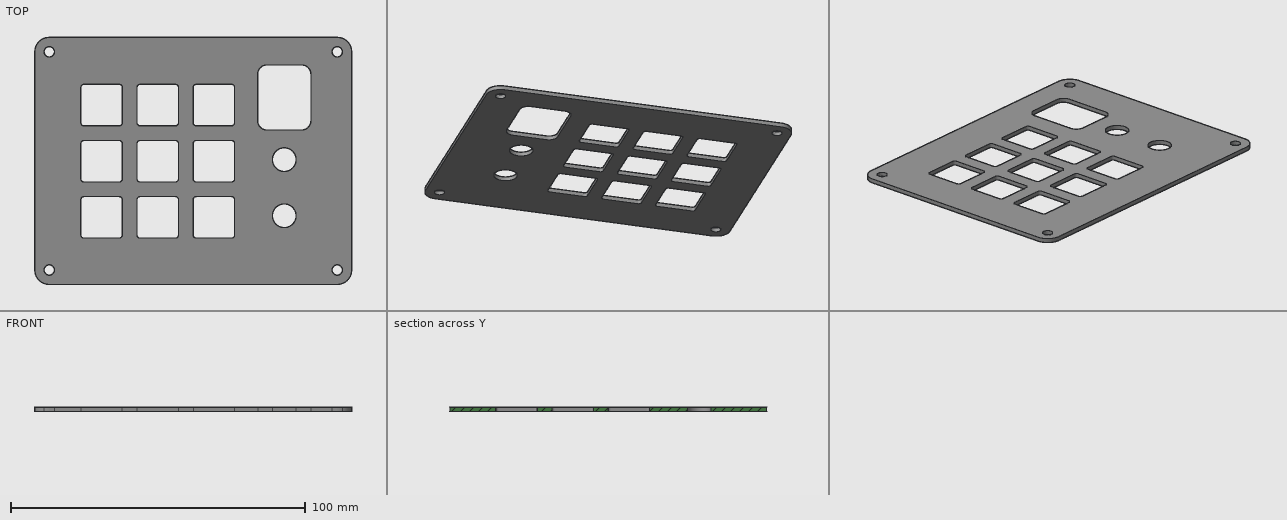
import cadquery as cq

plate_length = 107.7
plate_width = 84.0
plate_thickness = 1.5
corner_radius = 5.0

mount_hole_diameter = 3.5
mount_spacing_x = plate_length - 2 * corner_radius
mount_spacing_y = plate_width - 2 * corner_radius

key_count = 3
key_pitch = 19.1
key_size = 14.0
key_corner_radius = 1.0
key_grid_x = -12.1
key_grid_y = -0.1

column_x = 30.9
window_length = 18.0
window_width = 22.0
window_corner_radius = 3.0
window_y = 21.5
knob_hole_diameter = 8.0
upper_knob_y = 0.4
knob_pitch = key_pitch


def rounded_block(length, width, radius):
    """Block of plate thickness, centred on the origin, with rounded upright edges."""
    return cq.Workplane("XY").box(length, width, plate_thickness).edges("|Z").fillet(radius)


plate = rounded_block(plate_length, plate_width, corner_radius)

plate = (
    plate.faces(">Z").workplane(origin=(0, 0, 0))
    .rarray(mount_spacing_x, mount_spacing_y, 2, 2)
    .hole(mount_hole_diameter)
)

key_opening = rounded_block(key_size, key_size, key_corner_radius)
middle_key = (key_count - 1) / 2
for column in range(key_count):
    for row in range(key_count):
        key_x = key_grid_x + (column - middle_key) * key_pitch
        key_y = key_grid_y + (row - middle_key) * key_pitch
        plate = plate.cut(key_opening.translate((key_x, key_y, 0)))

window = rounded_block(window_length, window_width, window_corner_radius)
plate = plate.cut(window.translate((column_x, window_y, 0)))

plate = (
    plate.faces(">Z").workplane(origin=(0, 0, 0))
    .pushPoints([(column_x, upper_knob_y), (column_x, upper_knob_y - knob_pitch)])
    .hole(knob_hole_diameter)
)

result = plate